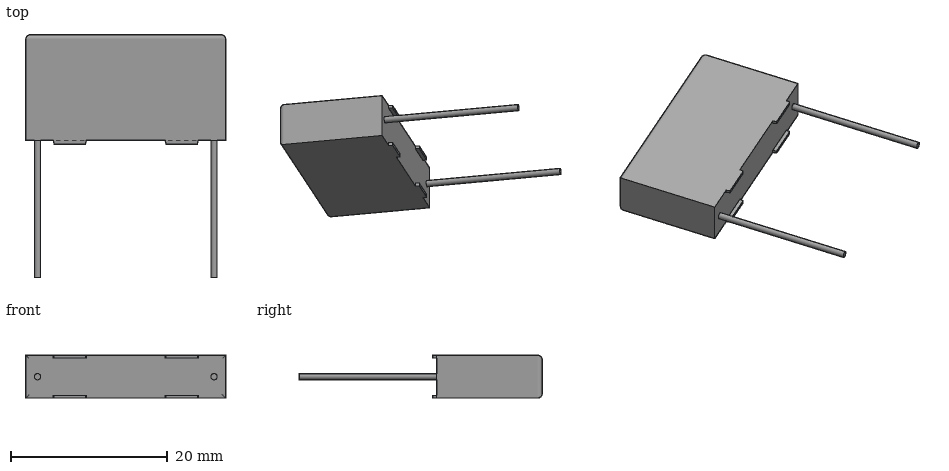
import cadquery as cq

CASE_WIDTH = 25.5
CASE_THICKNESS = 5.5
TOTAL_DEPTH = 31.0
LEAD_LENGTH = 17.5
CASE_DEPTH = TOTAL_DEPTH - LEAD_LENGTH
BACK_EDGE_RADIUS = 0.62

TAB_HEIGHT = 0.5
TAB_THICKNESS = 0.37
TAB_ROOT_WIDTH = 4.25
TAB_TIP_WIDTH = 4.0
TAB_SPACING = 14.25

LEAD_DIAMETER = 0.8
LEAD_SPACING = 22.5

SIDES = (-1, 1)


def make_tab(center_x, bottom_z):
    """Tapered tab standing on the lead face, from bottom_z upward."""
    return (
        cq.Workplane("XY", origin=(center_x, 0, bottom_z))
        .moveTo(-TAB_ROOT_WIDTH / 2, 0)
        .lineTo(-TAB_TIP_WIDTH / 2, -TAB_HEIGHT)
        .lineTo(TAB_TIP_WIDTH / 2, -TAB_HEIGHT)
        .lineTo(TAB_ROOT_WIDTH / 2, 0)
        .close()
        .extrude(TAB_THICKNESS)
    )


def make_case():
    """Box with a rounded back rim and a tab pair along each long edge of the lead face."""
    case = (
        cq.Workplane("XY")
        .box(CASE_WIDTH, CASE_DEPTH, CASE_THICKNESS, centered=(True, False, True))
        .faces(">Y")
        .edges()
        .fillet(BACK_EDGE_RADIUS)
    )
    lower_tab_z = -CASE_THICKNESS / 2
    upper_tab_z = CASE_THICKNESS / 2 - TAB_THICKNESS
    for side in SIDES:
        for bottom_z in (lower_tab_z, upper_tab_z):
            case = case.union(make_tab(side * TAB_SPACING / 2, bottom_z))
    return case


def make_lead(center_x):
    """Straight round wire running from the lead face toward -Y."""
    return (
        cq.Workplane("XZ", origin=(center_x, 0, 0))
        .circle(LEAD_DIAMETER / 2)
        .extrude(LEAD_LENGTH)
    )


case = make_case()
leads = [make_lead(side * LEAD_SPACING / 2) for side in SIDES]

result = cq.Compound.makeCompound([case.val(), *[lead.val() for lead in leads]])